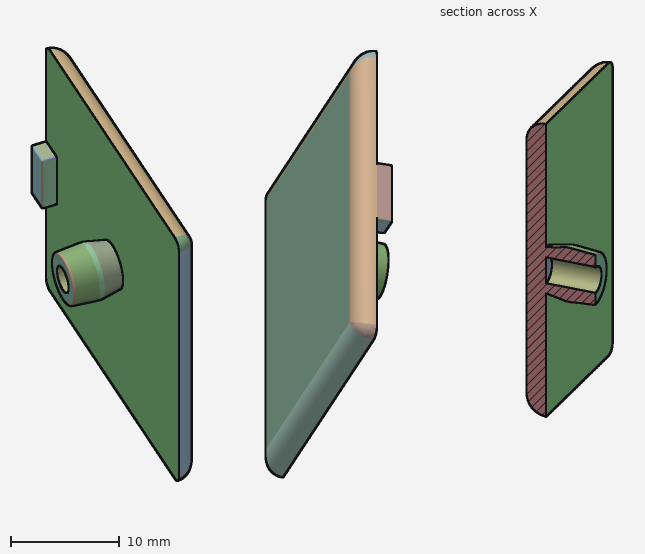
import cadquery as cq
import math

plate_side = 30.0
plate_thickness = 2.0
plate_corner_radius = 1.0

pin_length = 5.0
pin_base_diameter = 4.8
pin_band_diameter = 5.6
pin_tip_diameter = 5.2
pin_band_start = 2.0
pin_band_width = 0.5
pin_tip_round = 0.2
pin_hole_diameter = 2.6
pin_hole_depth = pin_length

tab_width = 2.5
tab_height = 1.5
tab_length = 6.0
tab_round = 0.2


def rounded_slab(workplane, to_local):
    """Slab with a quarter-round of the full plate thickness along two opposite sides.

    to_local turns (distance across the plate, height above the inner face)
    into the workplane's local coordinates.
    """
    half_side = plate_side / 2
    flat_half = half_side - plate_thickness
    arc_offset = plate_thickness * math.sqrt(0.5)
    arc_middle = flat_half + arc_offset
    return (
        workplane.moveTo(*to_local(-half_side, 0))
        .lineTo(*to_local(half_side, 0))
        .threePointArc(to_local(arc_middle, arc_offset), to_local(flat_half, plate_thickness))
        .lineTo(*to_local(-flat_half, plate_thickness))
        .threePointArc(to_local(-arc_middle, arc_offset), to_local(-half_side, 0))
        .close()
        .extrude(half_side, both=True)
    )


def is_mitre_edge(edge):
    """True for the four curved edges where two rounded sides meet at a plate corner."""
    return edge.geomType() != "LINE"


def make_plate():
    """Plate rounded on all four sides, with the mitred corners blended."""
    slab_across_x = rounded_slab(cq.Workplane("XY"), lambda across, height: (across, height))
    slab_across_z = rounded_slab(cq.Workplane("YZ"), lambda across, height: (height, across))
    plate = slab_across_x.intersect(slab_across_z)
    return plate.edges().filter(is_mitre_edge).fillet(plate_corner_radius)


def make_pin():
    """Pin widening from its base to a cylindrical band, then tapering to a rounded tip."""
    pin_band_end = pin_band_start + pin_band_width
    pin = (
        cq.Workplane("XY")
        .lineTo(pin_base_diameter / 2, 0)
        .lineTo(pin_band_diameter / 2, -pin_band_start)
        .lineTo(pin_band_diameter / 2, -pin_band_end)
        .lineTo(pin_tip_diameter / 2, -pin_length)
        .lineTo(0, -pin_length)
        .close()
        .revolve(360, (0, 0), (0, 1))
    )
    return pin.faces("<Y").edges().fillet(pin_tip_round)


def make_pin_hole():
    """Blind bore entering the pin from its tip."""
    return (
        cq.Workplane("XZ", origin=(0, -pin_length, 0))
        .circle(pin_hole_diameter / 2)
        .extrude(-pin_hole_depth)
    )


def make_tab():
    """Rectangular tab with every edge rounded except those on the plate."""
    tab_centre_x = (tab_width - plate_side) / 2
    return (
        cq.Workplane("XY")
        .box(tab_width, tab_height, tab_length)
        .translate((tab_centre_x, -tab_height / 2, 0))
        .edges("|Y or <Y")
        .fillet(tab_round)
    )


result = make_plate().union(make_pin()).union(make_tab()).cut(make_pin_hole())